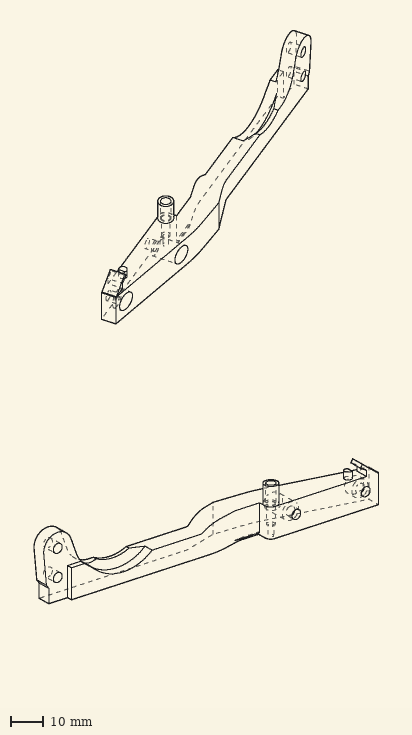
import cadquery as cq
import math


BODY_TOP = 11.0
NECK_TOP = 8.0
NECK_LEFT = 3.0
NECK_RIGHT = 10.0
TALL = 23.5
LONG = 126.49

STEP_X = 5.0
STEP_END = 42.5
STEP_CORNER = 2.0
TAPER_END = (12.6, 35.6)
BULGE_START = (13.55, 43.2)
BULGE_PEAK = (14.08, 53.6)
RIGHT_BEND_END = 67.0
LEFT_BEND_START = 52.1
BEND_ANGLE = math.radians(14)
BEND_RADIUS = 25.5

EAR_LEFT = 5.0
EAR_RADIUS = 5.5
EAR_LEAN = math.radians(20.2)
EAR_Y = LONG - EAR_RADIUS
EAR_Z = TALL - EAR_RADIUS
EAR_HOLE_SPACING = 10.0
EAR_FILLET = 9.0
EAR_BACK = (125.4, 6.6)
REAR_FACE = 124.5
REAR_NICK_Z = 5.3
SHELF_REAR = 117.2

RAMP_END = 57.8
RAMP_FOOT_RADIUS = 2.0
RAMP_CREST_RADIUS = 14.0

HOLLOW_Y = 97.0
HOLLOW_Z = 20.8
HOLLOW_LARGE = 17.0
HOLLOW_SMALL = 14.3
CONE_START = 6.6
CONE_END = 8.5

CROSS_HOLE = 3.4
HEAD_BORE = 6.3
HEAD_SEAT_X = 3.0
SCREW_Z = 5.9
SCREW_YS = (5.0, 32.0)

POST_X = STEP_X / 2
POST_Y = 40.0
POST_TOP = 18.0
POST_DIAMETER = 5.0
POST_MOUTH = 3.2
POST_BORE = 2.7
POST_BORE_FLOOR = 4.0
POST_OUTLET = 1.8

PIN_Y = 10.0
PIN_DIAMETER = 2.7
PIN_TOP = 13.7
PIN_CHAMFER = 0.65

HOOK_FOOT = 0.4
HOOK_TIP = (6.3, 15.7)
HOOK_LIP = (7.05, 14.5)
HOOK_ROOT = (4.7, 13.1)

POCKET_DEPTH = 0.8
POCKET_REAR = 50.0

BEYOND = 1.0


def side_plane(x):
    """Plane facing +X at the given X, with local axes (Y, Z)."""
    return cq.Workplane("YZ", origin=(x, 0, 0))


def plan_body():
    """Arm seen in plan, extruded to full height."""
    line_drop = STEP_X - NECK_LEFT - BEND_RADIUS * (1 - math.cos(BEND_ANGLE))
    line_end = LEFT_BEND_START + line_drop / math.tan(BEND_ANGLE)
    bend_end = line_end + BEND_RADIUS * math.sin(BEND_ANGLE)
    half = BEND_ANGLE / 2
    bend_mid = (
        NECK_LEFT + BEND_RADIUS * (1 - math.cos(half)),
        bend_end - BEND_RADIUS * math.sin(half),
    )
    outline = (
        cq.Workplane("XY")
        .moveTo(0, 0)
        .lineTo(STEP_X, 0)
        .lineTo(*TAPER_END)
        .tangentArcPoint(BULGE_START, relative=False)
        .lineTo(*BULGE_PEAK)
        .lineTo(NECK_RIGHT, RIGHT_BEND_END)
        .lineTo(NECK_RIGHT, LONG)
        .lineTo(EAR_LEFT, LONG)
        .lineTo(EAR_LEFT, SHELF_REAR)
        .lineTo(NECK_LEFT, SHELF_REAR)
        .lineTo(NECK_LEFT, bend_end)
        .threePointArc(bend_mid, (STEP_X - line_drop, line_end))
        .lineTo(STEP_X, LEFT_BEND_START)
        .lineTo(STEP_X, STEP_END)
        .lineTo(0, STEP_END)
        .close()
    )
    rear_corner = cq.selectors.NearestToPointSelector((0, STEP_END, TALL / 2))
    return outline.extrude(TALL).edges(rear_corner).fillet(STEP_CORNER)


def side_profile():
    """Arm seen from the side, with the ear, the neck and the ramp, wide enough to cover the plan."""
    flank_top = (
        EAR_Y - EAR_RADIUS * math.cos(EAR_LEAN),
        EAR_Z + EAR_RADIUS * math.sin(EAR_LEAN),
    )
    fillet_z = NECK_TOP + EAR_FILLET
    flank_foot_z = fillet_z - EAR_FILLET * math.sin(EAR_LEAN)
    flank_foot_y = flank_top[0] - (flank_top[1] - flank_foot_z) * math.tan(EAR_LEAN)
    fillet_y = flank_foot_y - EAR_FILLET * math.cos(EAR_LEAN)
    mid_angle = (EAR_LEAN + math.pi / 2) / 2
    fillet_mid = (
        fillet_y + EAR_FILLET * math.cos(mid_angle),
        fillet_z - EAR_FILLET * math.sin(mid_angle),
    )
    ramp_radii = RAMP_FOOT_RADIUS + RAMP_CREST_RADIUS
    ramp_angle = math.acos(1 - (BODY_TOP - NECK_TOP) / ramp_radii)
    ramp_foot = RAMP_END + ramp_radii * math.sin(ramp_angle)
    ramp_joint = (
        RAMP_END + RAMP_CREST_RADIUS * math.sin(ramp_angle),
        BODY_TOP - RAMP_CREST_RADIUS * (1 - math.cos(ramp_angle)),
    )
    return (
        side_plane(-BEYOND)
        .moveTo(0, 0)
        .lineTo(REAR_FACE, 0)
        .lineTo(REAR_FACE, REAR_NICK_Z)
        .lineTo(*EAR_BACK)
        .lineTo(LONG, EAR_Z)
        .threePointArc((EAR_Y, TALL), flank_top)
        .lineTo(flank_foot_y, flank_foot_z)
        .threePointArc(fillet_mid, (fillet_y, NECK_TOP))
        .lineTo(ramp_foot, NECK_TOP)
        .tangentArcPoint(ramp_joint, relative=False)
        .tangentArcPoint((RAMP_END, BODY_TOP), relative=False)
        .lineTo(0, BODY_TOP)
        .close()
        .extrude(BULGE_PEAK[0] + 2 * BEYOND)
    )


def shelf_clearance():
    """Space above the thin shelf beside the ear."""
    size = (EAR_LEFT, LONG, TALL)
    return cq.Workplane("XY").box(*size, centered=False).translate((0, 0, BODY_TOP))


def hollow():
    """Revolved cutter for the round hollow in the neck."""
    return (
        cq.Workplane("XY", origin=(0, HOLLOW_Y, HOLLOW_Z))
        .moveTo(0, 0)
        .lineTo(0, HOLLOW_LARGE)
        .lineTo(CONE_START, HOLLOW_LARGE)
        .lineTo(CONE_END, HOLLOW_SMALL)
        .lineTo(NECK_RIGHT + BEYOND, HOLLOW_SMALL)
        .lineTo(NECK_RIGHT + BEYOND, 0)
        .close()
        .revolve(360, (0, 0, 0), (1, 0, 0))
    )


def post():
    return (
        cq.Workplane("XY", origin=(POST_X, POST_Y, 0))
        .circle(POST_DIAMETER / 2)
        .extrude(POST_TOP)
    )


def post_bore():
    """Stepped bore down the post, narrowed below by a cone and open through the underside."""
    cone = (POST_BORE - POST_OUTLET) / 2
    return (
        cq.Workplane("XZ", origin=(POST_X, POST_Y, 0))
        .moveTo(0, -BEYOND)
        .lineTo(POST_OUTLET / 2, -BEYOND)
        .lineTo(POST_OUTLET / 2, POST_BORE_FLOOR - cone)
        .lineTo(POST_BORE / 2, POST_BORE_FLOOR)
        .lineTo(POST_BORE / 2, BODY_TOP)
        .lineTo(POST_MOUTH / 2, BODY_TOP)
        .lineTo(POST_MOUTH / 2, POST_TOP)
        .lineTo(0, POST_TOP)
        .close()
        .revolve(360, (0, 0, 0), (0, 1, 0))
    )


def pin():
    """Pin with a flat bevel on its front side."""
    radius = PIN_DIAMETER / 2
    front = PIN_Y - radius
    cylinder = cq.Workplane("XY", origin=(STEP_X / 2, PIN_Y, 0)).circle(radius).extrude(PIN_TOP)
    bevel = (
        side_plane(0)
        .moveTo(front, PIN_TOP)
        .lineTo(front + PIN_CHAMFER, PIN_TOP)
        .lineTo(front, PIN_TOP - PIN_CHAMFER)
        .close()
        .extrude(STEP_X)
    )
    return cylinder.cut(bevel)


def hook():
    return (
        side_plane(0)
        .moveTo(HOOK_FOOT, BODY_TOP)
        .lineTo(*HOOK_TIP)
        .lineTo(*HOOK_LIP)
        .lineTo(*HOOK_ROOT)
        .lineTo(HOOK_ROOT[0], BODY_TOP)
        .close()
        .extrude(STEP_X)
    )


def pocket():
    """Shallow pocket whose rear part carries the slanted left face on past the step face."""
    side_x = STEP_X + (LEFT_BEND_START - POCKET_REAR) * math.tan(BEND_ANGLE)
    return (
        cq.Workplane("XY")
        .moveTo(STEP_X, LEFT_BEND_START)
        .lineTo(side_x, POCKET_REAR)
        .lineTo(side_x, STEP_END)
        .lineTo(STEP_X, STEP_END)
        .close()
        .extrude(POCKET_DEPTH)
    )


def cross_holes(start, diameter, places):
    """Holes along X from the given X out past the right side, at the given (Y, Z) places."""
    length = BULGE_PEAK[0] + BEYOND - start
    return side_plane(start).pushPoints(places).circle(diameter / 2).extrude(length)


screw_places = [(y, SCREW_Z) for y in SCREW_YS]
ear_places = [(EAR_Y, EAR_Z), (EAR_Y, EAR_Z - EAR_HOLE_SPACING)]

result = plan_body().intersect(side_profile()).cut(shelf_clearance()).cut(hollow())
result = result.union(hook()).union(pin()).union(post())
result = result.cut(post_bore()).cut(pocket())
result = result.cut(cross_holes(-BEYOND, CROSS_HOLE, screw_places + ear_places))
result = result.cut(cross_holes(HEAD_SEAT_X, HEAD_BORE, screw_places))